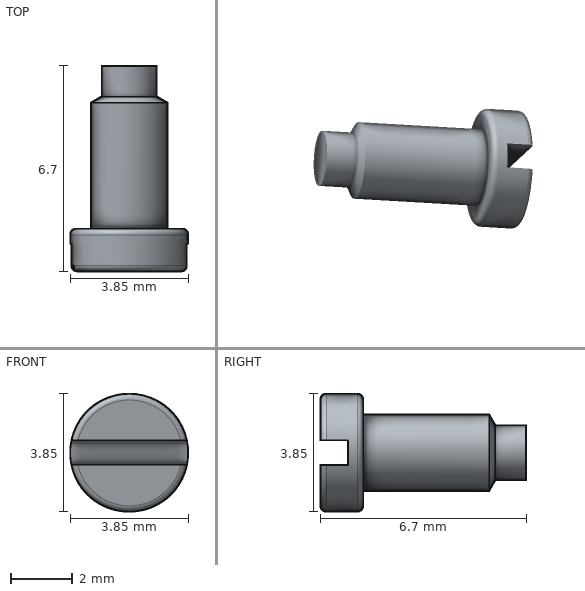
import cadquery as cq

head_diameter = 3.85
head_height = 1.4
head_edge_radius = 0.2

slot_width = 0.8
slot_depth = 0.9

shoulder_diameter = 2.5
shoulder_length = 4.3
cone_length = 0.2

pin_diameter = 1.8
pin_length = 1.0


def cylinder_along_y(diameter, start, length):
    """Solid cylinder on the Y axis, from start toward +Y."""
    axis = cq.Vector(0, 1, 0)
    return cq.Workplane(cq.Solid.makeCylinder(diameter / 2, length, cq.Vector(0, start, 0), axis))


def make_head():
    """Cheese head with both rims rounded and a screwdriver slot across it along X."""
    head = cylinder_along_y(head_diameter, -head_height, head_height)
    head = head.faces("<Y or >Y").edges().fillet(head_edge_radius)
    slot = cq.Workplane("XY").box(
        head_diameter, slot_depth, slot_width, centered=(True, False, True)
    )
    return head.cut(slot.translate((0, -head_height, 0)))


def make_shoulder():
    """Plain shoulder whose end tapers down to the pin diameter."""
    shoulder_radius = shoulder_diameter / 2
    cone_start = shoulder_length - cone_length
    return (
        cq.Workplane("XY")
        .lineTo(shoulder_radius, 0)
        .lineTo(shoulder_radius, cone_start)
        .lineTo(pin_diameter / 2, shoulder_length)
        .lineTo(0, shoulder_length)
        .close()
        .revolve(360, (0, 0, 0), (0, 1, 0))
    )


def make_pin():
    """Plain pin on the end of the shoulder."""
    return cylinder_along_y(pin_diameter, shoulder_length, pin_length)


result = make_head().union(make_shoulder()).union(make_pin())